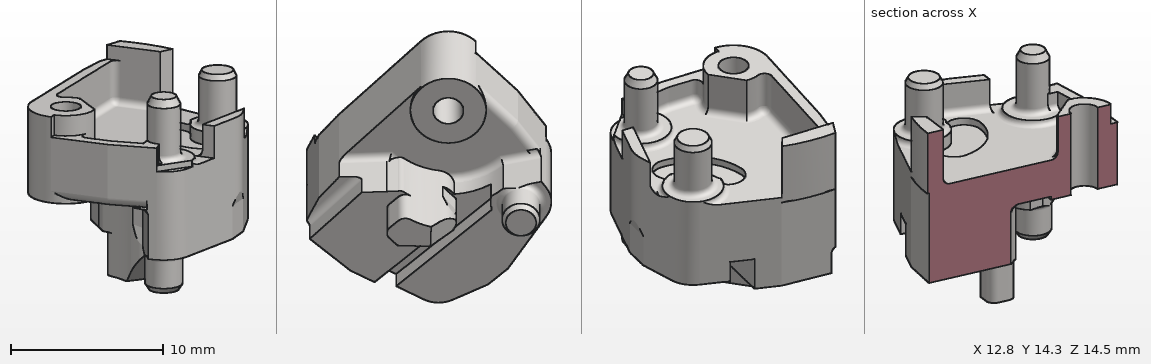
import cadquery as cq
import math


LOWER_PIN_BOTTOM = 1.2
BLOCK_BOTTOM = 2.99
BODY_BOTTOM = 3.8
STEP_CEILING = 5.02
CHANNEL_CEILING = 5.3
NOSE_FLAT_TOP = 6.89
SLEEVE_BOTTOM = 6.97
RECESS_CEILING = 7.2
BACK_FLAT_TOP = 9.48
FLOOR = 9.87
PAD_TOP = 10.3
FRONT_RIM = 11.5
RIGHT_RIM = 12.1
LEFT_RIM = 12.9
TAB_TOP = 13.88
SHORT_PIN_TOP = 14.06
TALL_PIN_TOP = 14.5

SLEEVE_R = 2.5
HOLE_R = 1.0
HUB_R = 2.0
CORNER_R = 2.0
PAD_R = 2.02
NOSE_R = 2.5
BACK_ARC_R = 11.8
RECESS_R = 5.42
POST_R = 4.8

WALL_FILLET = 0.5
PIN_FILLET = 0.4
BLEND_R = 0.52
SKIRT_ROUND = 0.6

LEFT_NORMAL = 176.8
FRONT_NORMAL = -90
SLANT_NORMAL = -81
RIGHT_NORMAL = -14.8
UPPER_RIGHT_NORMAL = 16.2
BACK_NORMAL = 72.8
WALL = 0.8

FAR = 17.4
ORIGIN = (0, 0)
FRONT_PIN = (6.99, 0)
BACK_PIN = (7.5, 7.9)


def polar(center, radius, degrees):
    angle = math.radians(degrees)
    return (center[0] + radius * math.cos(angle), center[1] + radius * math.sin(angle))


def direction(degrees):
    return polar(ORIGIN, 1, degrees) + (0,)


def along(start, end, fraction):
    return tuple(a + (b - a) * fraction for a, b in zip(start, end))


def on_circle(radius, x):
    """Point with positive Y on a circle about the pivot hole."""
    return (x, math.sqrt(radius**2 - x**2))


def crossing(p, p_normal, q, q_normal):
    """Meeting point of the lines through p and q with the given normal directions."""
    a, b = math.radians(p_normal), math.radians(q_normal)
    c = p[0] * math.cos(a) + p[1] * math.sin(a)
    d = q[0] * math.cos(b) + q[1] * math.sin(b)
    det = math.sin(b - a)
    return ((c * math.sin(b) - d * math.sin(a)) / det, (d * math.cos(a) - c * math.cos(b)) / det)


def cove_middle(corner, x_side, y_side, radius):
    """Midpoint of the fillet arc set in a corner, opening toward the given sides."""
    inset = radius * (1 - math.sqrt(0.5))
    return (corner[0] + x_side * inset, corner[1] + y_side * inset)


def bead(plane, radius, length, both=False):
    """Straight fillet material in the corner between the X and Y axes of the plane."""
    return (
        cq.Workplane(plane)
        .lineTo(radius, 0)
        .threePointArc(cove_middle(ORIGIN, 1, 1, radius), (0, radius))
        .close()
        .extrude(length, both=both)
    )


def prism(points, bottom, top):
    return cq.Workplane("XY").workplane(offset=bottom).polyline(points).close().extrude(top - bottom)


def cylinder(center, radius, bottom, top):
    return cq.Workplane("XY").workplane(offset=bottom).center(*center).circle(radius).extrude(top - bottom)


def upright_edge(point):
    x, y = point
    return cq.selectors.BoxSelector((x - 0.15, y - 0.15, -FAR), (x + 0.15, y + 0.15, 2 * FAR))


LEFT_START = polar(ORIGIN, SLEEVE_R, LEFT_NORMAL)
LEFT_BEND = (-2.06, 7.9)
LEFT_TOP_BEND = (-1.8, 9.98)
TAB_CORNER = on_circle(BACK_ARC_R, -1.09)
TAB_END = on_circle(BACK_ARC_R, 2.81)
TAB_INNER_Y = 10.6
FRONT_START = (0, -SLEEVE_R)
SLANT_TANGENT = polar(FRONT_PIN, CORNER_R, SLANT_NORMAL)
FRONT_BEND = crossing(FRONT_START, FRONT_NORMAL, SLANT_TANGENT, SLANT_NORMAL)
RIGHT_TANGENT = polar(FRONT_PIN, CORNER_R, RIGHT_NORMAL)
UPPER_RIGHT_TANGENT = polar(BACK_PIN, CORNER_R, UPPER_RIGHT_NORMAL)
RIGHT_NOSE = crossing(RIGHT_TANGENT, RIGHT_NORMAL, UPPER_RIGHT_TANGENT, UPPER_RIGHT_NORMAL)


def outline_prism(bottom, top):
    sharp = (
        cq.Workplane("XY").workplane(offset=bottom)
        .moveTo(*LEFT_START)
        .threePointArc(polar(ORIGIN, SLEEVE_R, 225), FRONT_START)
        .lineTo(*FRONT_BEND)
        .lineTo(*SLANT_TANGENT)
        .threePointArc(polar(FRONT_PIN, CORNER_R, -45), RIGHT_TANGENT)
        .lineTo(*RIGHT_NOSE)
        .lineTo(*UPPER_RIGHT_TANGENT)
        .threePointArc(polar(BACK_PIN, CORNER_R, 45), polar(BACK_PIN, CORNER_R, BACK_NORMAL))
        .lineTo(*TAB_END)
        .threePointArc((0, BACK_ARC_R), TAB_CORNER)
        .lineTo(*LEFT_TOP_BEND)
        .lineTo(*LEFT_BEND)
        .close()
        .extrude(top - bottom)
    )
    return sharp.edges("|Z").edges(upright_edge(RIGHT_NOSE)).fillet(NOSE_R)


def hub_blend(wall_normal, side):
    """Arc joining the hub to a wall: its points on the hub, midway and on the wall."""
    center_r = HUB_R + BLEND_R
    swing = math.degrees(math.acos((SLEEVE_R - WALL - BLEND_R) / center_r))
    toward_hub = wall_normal + side * swing
    center = polar(ORIGIN, center_r, toward_hub)
    middle = (wall_normal + toward_hub - side * 180) / 2
    return polar(ORIGIN, HUB_R, toward_hub), polar(center, BLEND_R, middle), polar(center, BLEND_R, wall_normal)


def pocket():
    """Cutter for the open tray inside the walls, filleted along the floor."""
    left_face = polar(LEFT_START, -WALL, LEFT_NORMAL)
    front_face = (0, WALL - SLEEVE_R)
    slant_face = polar(SLANT_TANGENT, -WALL, SLANT_NORMAL)
    right_face = polar(RIGHT_TANGENT, -WALL, RIGHT_NORMAL)
    tab_face = (0, TAB_INNER_Y)
    top_left = crossing(left_face, LEFT_NORMAL, tab_face, 90)
    left_hub, left_middle, left_wall = hub_blend(LEFT_NORMAL, -1)
    front_hub, front_middle, front_wall = hub_blend(FRONT_NORMAL, 1)
    tool = (
        cq.Workplane("XY").workplane(offset=FLOOR)
        .moveTo(*top_left)
        .lineTo(*crossing(right_face, RIGHT_NORMAL, tab_face, 90))
        .lineTo(*crossing(right_face, RIGHT_NORMAL, slant_face, SLANT_NORMAL))
        .lineTo(*crossing(slant_face, SLANT_NORMAL, front_face, FRONT_NORMAL))
        .lineTo(*front_wall)
        .threePointArc(front_middle, front_hub)
        .threePointArc(polar(ORIGIN, HUB_R, 45), left_hub)
        .threePointArc(left_middle, left_wall)
        .close()
        .extrude(FAR - FLOOR)
    )
    tool = tool.edges("|Z").edges(upright_edge(top_left)).fillet(BLEND_R)
    return tool.faces("<Z").edges().fillet(WALL_FILLET)


def hub_flat():
    """Cutter that flattens the hub toward the middle of the pocket."""
    flat_distance = 1.51
    plane = cq.Plane(
        origin=polar(ORIGIN, flat_distance, 45) + (FLOOR,), xDir=direction(45), normal=direction(-45)
    )
    width = 2 * WALL_FILLET
    height = FAR - FLOOR
    slab = cq.Workplane(plane).rect(width, height, centered=False).extrude(HUB_R, both=True)
    return slab.cut(bead(plane, WALL_FILLET, HUB_R, both=True))


def rim_steps():
    """Cutters that lower each stretch of the wall to its own height."""
    front = prism([(0, -FAR), (FAR, -FAR), (FAR, 1.45), (0, 1.45)], FRONT_RIM, FAR)
    right = prism([(5.8, 0), (FAR, 0), (FAR, 8.7), (5.8, 8.7)], RIGHT_RIM, FAR)
    below_tab = prism(
        [(-FAR, -FAR), (FAR, -FAR), (FAR, TAB_INNER_Y), (-FAR, TAB_INNER_Y)], LEFT_RIM, FAR
    )
    return [front.cut(cylinder(ORIGIN, HUB_R, FRONT_RIM, FAR)), right, below_tab]


def wall_openings():
    """Cutters that open the wall along the back edge and around the front pin."""
    right_wall_end = 2.22
    back = prism([(1.8, 9.79), (3.32, 12.32), (8.7, 12.32), (8.7, 9.79)], FLOOR, FAR)
    front_corner = prism(
        [(7.4, -2.32), (7.1, -1.16), (7.1, right_wall_end), (FAR, right_wall_end), (FAR, -2.32)], FLOOR, FAR
    )
    return [back, front_corner]


def pin_on_pad(center, radius, top, tip_radius, tip_height):
    """Pin with a tapered tip on a round pad; both have a filleted foot."""
    foot = FLOOR - 0.15
    pad_corner = (PAD_R, FLOOR)
    pin_corner = (radius, PAD_TOP)
    return (
        cq.Workplane("XZ")
        .moveTo(0, foot)
        .lineTo(PAD_R + PIN_FILLET, foot)
        .lineTo(PAD_R + PIN_FILLET, FLOOR)
        .threePointArc(cove_middle(pad_corner, 1, 1, PIN_FILLET), (PAD_R, FLOOR + PIN_FILLET))
        .lineTo(PAD_R, PAD_TOP)
        .lineTo(radius + PIN_FILLET, PAD_TOP)
        .threePointArc(cove_middle(pin_corner, 1, 1, PIN_FILLET), (radius, PAD_TOP + PIN_FILLET))
        .lineTo(radius, top - tip_height)
        .lineTo(tip_radius, top)
        .lineTo(0, top)
        .close()
        .revolve(360, (0, 0, 0), (0, 1, 0))
        .translate(center + (0,))
    )


def front_pad_trim():
    """Cutter that bevels the outer corner of the front pad down to the floor."""
    return prism([(7.32, -1.97), (8.99, -0.03), (11.6, -0.03), (11.6, -4.35), (7.32, -4.35)], FLOOR, FAR)


def pin_rib():
    """Rib that ties the front pin to the front wall, filleted onto the pad on both sides."""
    left_x, right_x, back_y, front_y = 6.09, 7.1, -0.58, -1.6
    rib = prism(
        [(left_x, back_y), (left_x, -1.88), (7.28, -1.74), (right_x, -1.02), (right_x, back_y)], FLOOR, FRONT_RIM
    )
    left_plane = cq.Plane(origin=(left_x, front_y, PAD_TOP), xDir=(-1, 0, 0), normal=(0, 1, 0))
    right_plane = cq.Plane(origin=(right_x, back_y, PAD_TOP), xDir=(1, 0, 0), normal=(0, -1, 0))
    length = back_y - front_y
    return rib.union(bead(left_plane, PIN_FILLET, length)).union(bead(right_plane, PIN_FILLET, length))


def kidney():
    """Curved blind slot around the back pin."""
    path_r, half_width, depth = 3.0, 1.2, 0.5
    start, end = 192, 270
    middle = (start + end) / 2
    inner_r = path_r - half_width
    outer_r = path_r + half_width
    start_tip = polar(polar(BACK_PIN, path_r, start), half_width, start - 90)
    end_tip = polar(polar(BACK_PIN, path_r, end), half_width, end + 90)
    return (
        cq.Workplane("XY").workplane(offset=FLOOR - depth)
        .moveTo(*polar(BACK_PIN, inner_r, start))
        .threePointArc(polar(BACK_PIN, inner_r, middle), polar(BACK_PIN, inner_r, end))
        .threePointArc(end_tip, polar(BACK_PIN, outer_r, end))
        .threePointArc(polar(BACK_PIN, outer_r, middle), polar(BACK_PIN, outer_r, start))
        .threePointArc(start_tip, polar(BACK_PIN, inner_r, start))
        .close()
        .extrude(FAR)
    )


SLANT_FACE_END = (0.46, 4.99)
PILLAR_START = (RECESS_R, 0.15)
PILLAR_END = (6.77, -2.09)
CHANNEL_LEFT_X = 4.55


def recess():
    """Cutters for the hollow under the walls, filleted along its ceiling."""
    reach = 5.8
    sweep = (
        cq.Workplane("XY")
        .moveTo(*along(SLANT_FACE_END, LEFT_BEND, 2))
        .lineTo(0.1, 5.41)
        .threePointArc(polar(ORIGIN, RECESS_R, 45), PILLAR_START)
        .lineTo(PILLAR_START[0], -reach)
        .lineTo(-reach, -reach)
        .close()
        .extrude(RECESS_CEILING)
    )
    pillar_back = along(PILLAR_START, PILLAR_END, -0.7)
    pillar_front = along(PILLAR_START, PILLAR_END, 2.5)
    beside_pillar = prism(
        [pillar_back, pillar_front, (2.9, pillar_front[1]), (2.9, pillar_back[1])], 0, RECESS_CEILING
    )
    return [tool.faces(">Z").edges().fillet(WALL_FILLET) for tool in (sweep, beside_pillar)]


def skirt_round(start, end, normal):
    """Cutter that rounds the lower outer edge of the wall running from start to end."""
    length = math.dist(start, end)
    run = ((end[0] - start[0]) / length, (end[1] - start[1]) / length, 0)
    plane = cq.Plane(origin=start + (RECESS_CEILING,), xDir=direction(normal + 180), normal=run)
    return bead(plane, SKIRT_ROUND, length)


def left_step():
    """Cutter that sets the lower part of the left block inward, under a filleted ceiling."""
    step_x = -1.09
    fraction = (SLANT_FACE_END[0] - step_x) / (SLANT_FACE_END[0] - LEFT_BEND[0])
    start = along(SLANT_FACE_END, LEFT_BEND, fraction)
    plane = cq.Plane(
        origin=start + (STEP_CEILING,), xDir=direction(LEFT_NORMAL), normal=direction(LEFT_NORMAL + 90)
    )
    slab = cq.Workplane(plane).rect(FAR, STEP_CEILING, centered=False).extrude(FAR / 2, both=True)
    return slab.cut(bead(plane, WALL_FILLET, FAR / 2, both=True))


def lower_flats():
    """Cutters that take the bulge off the lower back edge and the lower right nose."""
    back = prism([TAB_CORNER, TAB_END, (TAB_END[0], 13.05), (TAB_CORNER[0], 13.05)], 0, BACK_FLAT_TOP)
    nose = (
        cq.Workplane("XZ", origin=(0, 8.7, 0))
        .polyline([(10.15, 0), (10.15, 6.09), (10.32, NOSE_FLAT_TOP), (11.6, NOSE_FLAT_TOP), (11.6, 0)])
        .close()
        .extrude(8.7)
    )
    return [back, nose]


def channel():
    """Cutter for the passage between the post and the front pin corner, open at the back."""
    right_x, front_y, post_face_y, inner_x = 6.1, 1.13, 3.57, 2.9
    passage = prism(
        [(CHANNEL_LEFT_X, front_y), (right_x, front_y), (right_x, FAR), (CHANNEL_LEFT_X, FAR)],
        0, CHANNEL_CEILING,
    )
    before_post = prism(
        [(inner_x, front_y), (CHANNEL_LEFT_X + 0.15, front_y), (CHANNEL_LEFT_X + 0.15, post_face_y),
         (inner_x, post_face_y)],
        0, CHANNEL_CEILING,
    )
    return passage.union(before_post).cut(cylinder(FRONT_PIN, CORNER_R, 0, CHANNEL_CEILING))


POST_EDGE = on_circle(POST_R, 3.12)
POST_NOSE_MIDDLE = (3.65, 3.44)
POST_NOSE_END = (4.2, 3.42)


def post_root():
    """Upper part of the post, merged with the recess walls."""
    hollow_start = on_circle(POST_R, 0.8)
    return (
        cq.Workplane("XY").workplane(offset=BLOCK_BOTTOM)
        .moveTo(0, 5.52)
        .lineTo(*SLANT_FACE_END)
        .threePointArc((0.61, 4.81), hollow_start)
        .threePointArc(polar(ORIGIN, POST_R, 65), POST_EDGE)
        .threePointArc(POST_NOSE_MIDDLE, POST_NOSE_END)
        .lineTo(4.2, 4.35)
        .lineTo(0.72, 6.52)
        .close()
        .extrude(RECESS_CEILING + 0.15 - BLOCK_BOTTOM)
    )


def post():
    """Free-standing lower part of the post with its relieved front and sloped tip."""
    left_x, back_y, right_x, back_round = 0.81, 6.61, 4.77, 0.58
    hollow_start = on_circle(POST_R, 1.28)
    shaft = (
        cq.Workplane("XY")
        .moveTo(left_x, back_y - back_round)
        .lineTo(left_x, 5.29)
        .threePointArc((0.94, 4.87), hollow_start)
        .threePointArc(polar(ORIGIN, POST_R, 65), POST_EDGE)
        .threePointArc(POST_NOSE_MIDDLE, POST_NOSE_END)
        .threePointArc((4.61, 3.6), (right_x, 4.02))
        .lineTo(2.18, back_y)
        .lineTo(left_x + back_round, back_y)
        .threePointArc(cove_middle((left_x, back_y), 1, -1, back_round), (left_x, back_y - back_round))
        .close()
        .extrude(CHANNEL_CEILING + 0.15)
    )
    tip_plane = cq.Plane(origin=(1.52, 2.9, 0), xDir=(1, 1, 0), normal=(1, -1, -1))
    tip_slope = cq.Workplane(tip_plane).rect(FAR, FAR).extrude(FAR)
    relief_x, relief_y, relief_z, relief_tilt = 3.26, 3.57, 4.15, 12.7
    front_relief = (
        cq.Workplane("YZ")
        .polyline([(3.25, 2.03), (relief_y, relief_z), (relief_y, FAR), (0, FAR), (0, 2.03)])
        .close()
        .extrude(FAR, both=True)
        .rotate((relief_x, 0, relief_z), (relief_x, 1, relief_z), relief_tilt)
    )
    side_relief = (
        cq.Workplane("XZ", origin=(0, FAR, 0))
        .polyline([(right_x, 2.9), (CHANNEL_LEFT_X, 3.85), (CHANNEL_LEFT_X, FAR), (FAR, FAR), (FAR, 2.9)])
        .close()
        .extrude(2 * FAR)
    )
    return shaft.cut(tip_slope).cut(front_relief).cut(side_relief)


def lower_pin():
    """Pin under the front pin, with a filleted root and a tapered tip."""
    radius, tip_radius, tip_height, root_fillet = 1.25, 1.0, 0.39, 0.39
    root = BODY_BOTTOM + 0.15
    return (
        cq.Workplane("XZ")
        .moveTo(0, root)
        .lineTo(radius + root_fillet, root)
        .lineTo(radius + root_fillet, BODY_BOTTOM)
        .threePointArc(
            cove_middle((radius, BODY_BOTTOM), 1, -1, root_fillet), (radius, BODY_BOTTOM - root_fillet)
        )
        .lineTo(radius, LOWER_PIN_BOTTOM + tip_height)
        .lineTo(tip_radius, LOWER_PIN_BOTTOM)
        .lineTo(0, LOWER_PIN_BOTTOM)
        .close()
        .revolve(360, (0, 0, 0), (0, 1, 0))
        .translate(FRONT_PIN + (0,))
    )


envelope = outline_prism(0, TALL_PIN_TOP + 0.15)

body = outline_prism(BLOCK_BOTTOM, TAB_TOP)
for cutter in [pocket(), hub_flat()] + rim_steps() + wall_openings():
    body = body.cut(cutter)

front_pin = pin_on_pad(FRONT_PIN, 1.1, TALL_PIN_TOP, 0.83, 0.54).intersect(envelope).cut(front_pad_trim())
back_pin = pin_on_pad(BACK_PIN, 1.25, SHORT_PIN_TOP, 1.05, 0.39).intersect(envelope)
body = body.union(front_pin.union(back_pin)).union(pin_rib().intersect(envelope))
body = body.cut(kidney())

right_of_block = prism(
    [(CHANNEL_LEFT_X, -FAR), (FAR, -FAR), (FAR, FAR), (CHANNEL_LEFT_X, FAR)], 0, BODY_BOTTOM
)
body = body.cut(right_of_block).union(lower_pin().intersect(envelope))
skirt_end = along(FRONT_BEND, SLANT_TANGENT, 0.8)
skirt_cuts = [
    skirt_round((-0.15, -SLEEVE_R), FRONT_BEND, FRONT_NORMAL),
    skirt_round(FRONT_BEND, skirt_end, SLANT_NORMAL),
]
for cutter in [left_step()] + lower_flats() + recess() + skirt_cuts:
    body = body.cut(cutter)
body = body.union(post_root()).cut(channel()).union(post())

body = body.union(cylinder(ORIGIN, SLEEVE_R, SLEEVE_BOTTOM, FLOOR))
result = body.cut(cylinder(ORIGIN, HOLE_R, 0, FAR))